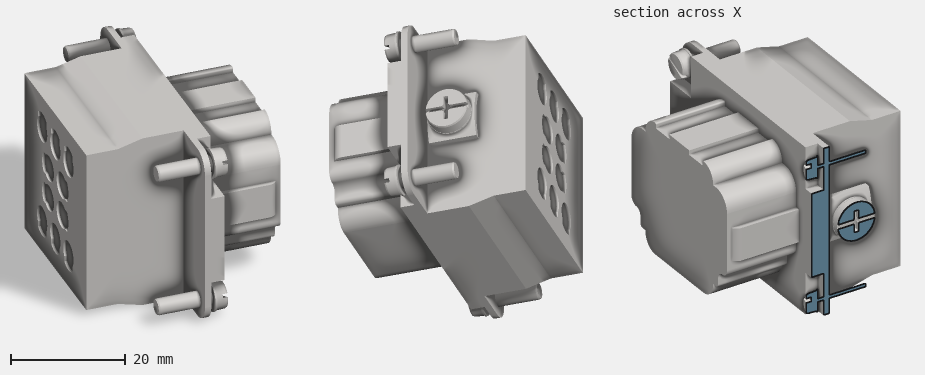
import cadquery as cq
import math

flange_width = 51.0
body_height = 33.8
flange_thickness = 3.7
flange_corner_radius = 3.5

recess_width = 6.9
recess_height = 8.4
recess_depth = 2.5

block_width = 30.2
block_length = 21.9
taper_start = 11.4
taper_end = 16.0
taper_step = 1.2

contact_diameter = 5.0
contact_depth = 0.5
key_width = 4.0
key_reach = 3.25
outer_row_spacing = 6.4
outer_row_height = 9.15
inner_row_spacing = 3.15
inner_row_height = 3.0

insert_length = 14.3
insert_half_width = 15.55
insert_half_height = 13.3
side_flat_top = 6.4
side_flat_bottom = -5.1
shoulder_height = 10.0
shoulder_edge = 12.0
lobe_radius = 3.1
lobe_apex = 7.9
lobe_edge_fillet = 0.3
top_flat_height = 12.3
top_rib_half_width = 3.25
top_rib_height = 13.2
lower_corner_radius = 1.5
lower_shoulder_fillet = 1.35
lower_wall_x = 12.65
lower_wall_radius = 0.7

side_rib_half_width = 16.5
side_rib_height = 6.6
side_rib_length = 13.4
side_rib_round_length = 1.6

head_height = 2.5
head_chamfer_height = 0.3
head_lip_height = 0.35
slot_depth = 1.0
head_taper = 0.1

flange_screw_x = 22.0
flange_screw_z = 13.5
flange_screw_shank = 3.0
flange_screw_head = 5.2
flange_screw_lip = 5.5
flange_screw_head_y = 1.1
flange_screw_tip_y = -11.5
flange_screw_tip_chamfer = 0.3
flange_screw_slot_width = 0.7
flange_screw_slot_angle = -24.0

earth_screw_y = -9.3
earth_screw_shank = 4.0
earth_screw_head = 7.9
earth_screw_lip = 8.0
earth_screw_head_x = -21.35
earth_screw_slot_width = 0.8
earth_screw_slot_angle = 90.0
cross_length = 4.6
cross_taper = 0.4
cross_width = 0.85
cross_depth = 1.6
cross_centre_diameter = 1.6
cross_floor_diameter = 1.25
clamp_size = 8.75
clamp_thickness = 1.0
clamp_radius = 10.4
clamp_outer_x = -18.65

half_height = body_height / 2
block_half_width = block_width / 2
diagonal = math.sqrt(0.5)


def box(x0, x1, y0, y1, z0, z1):
    """Box between two corners."""
    return cq.Workplane("XY").box(x1 - x0, y1 - y0, z1 - z0, centered=False).translate((x0, y0, z0))


def xz_plane(y):
    """Sketch plane with local X = X and local Y = Z; extrusion runs toward -Y."""
    return cq.Workplane("XZ", origin=(0, y, 0))


def make_flange():
    """Rounded flange plate with the four rear corners recessed."""
    plate = xz_plane(0).rect(flange_width, body_height).extrude(flange_thickness)
    plate = plate.edges("|Y").fillet(flange_corner_radius)
    for side in (-1, 1):
        for end in (-1, 1):
            corner_x = side * (flange_width / 2 - recess_width / 2)
            corner_z = end * (half_height - recess_height / 2)
            recess = xz_plane(0).center(corner_x, corner_z).rect(recess_width, recess_height)
            plate = plate.cut(recess.extrude(recess_depth))
    return plate


def make_block():
    """Wiring block that tapers to a lower end."""
    end_half_height = half_height - taper_step
    outline = [
        (0, half_height),
        (-taper_start, half_height),
        (-taper_end, end_half_height),
        (-block_length, end_half_height),
        (-block_length, -end_half_height),
        (-taper_end, -end_half_height),
        (-taper_start, -half_height),
        (0, -half_height),
    ]
    return cq.Workplane("YZ").polyline(outline).close().extrude(block_half_width, both=True)


def make_contact(x, z, key_angle):
    """Round opening with a wide key that points along key_angle (degrees from +X)."""
    key = xz_plane(0).circle(key_reach).extrude(contact_depth)
    key_band = xz_plane(0).center(key_reach / 2, 0).rect(key_reach, key_width).extrude(contact_depth)
    opening = xz_plane(0).circle(contact_diameter / 2).extrude(contact_depth)
    opening = opening.union(key.intersect(key_band))
    opening = opening.rotate((0, 0, 0), (0, 1, 0), -key_angle)
    return opening.translate((x, contact_depth - block_length, z))


def cut_contacts(body):
    """Two outer rows of three and two inner rows of two contact openings."""
    for end in (-1, 1):
        for column in (-1, 0, 1):
            body = body.cut(make_contact(column * outer_row_spacing, end * outer_row_height, end * 90))
        for side in (-1, 1):
            key_angle = 0 if side > 0 else 180
            body = body.cut(make_contact(side * inner_row_spacing, end * inner_row_height, key_angle))
    return body


def arc_middle(centre_x, centre_z, radius_x, radius_z):
    """Middle point of a quarter turn; the signs of the radii choose the quadrant."""
    return (centre_x + radius_x * diagonal, centre_z + radius_z * diagonal)


def make_insert():
    """Mating insert: half outline on the -X side, mirrored to the +X side."""
    lobe_centre_z = insert_half_height - lobe_radius
    lobe_edge = lobe_apex + lobe_radius
    lobe_inner_edge = lobe_apex - lobe_edge_fillet
    lobe_fillet_z = insert_half_height - lobe_edge_fillet
    lower_wall_bottom = lower_wall_radius - shoulder_height
    lower_shoulder = side_flat_bottom - lower_corner_radius
    corner_x = -insert_half_width + lower_corner_radius
    fillet_x = -lower_wall_x - lower_shoulder_fillet
    fillet_z = lower_shoulder - lower_shoulder_fillet
    wall_round_x = -lower_wall_x + lower_wall_radius
    upper_round_mid = (
        -shoulder_edge - (insert_half_width - shoulder_edge) * diagonal,
        side_flat_top + (shoulder_height - side_flat_top) * diagonal,
    )
    lobe_fillet_mid = arc_middle(-lobe_apex, lobe_fillet_z, lobe_edge_fillet, lobe_edge_fillet)
    upper_lobe_mid = arc_middle(-lobe_apex, lobe_centre_z, -lobe_radius, lobe_radius)
    lower_lobe_mid = arc_middle(-lobe_apex, -lobe_centre_z, -lobe_radius, -lobe_radius)
    corner_mid = arc_middle(corner_x, side_flat_bottom, -lower_corner_radius, -lower_corner_radius)
    fillet_mid = arc_middle(fillet_x, fillet_z, lower_shoulder_fillet, lower_shoulder_fillet)
    wall_mid = arc_middle(wall_round_x, lower_wall_bottom, -lower_wall_radius, -lower_wall_radius)

    half = (
        xz_plane(insert_length)
        .moveTo(0, top_rib_height)
        .lineTo(-top_rib_half_width, top_rib_height)
        .lineTo(-top_rib_half_width, top_flat_height)
        .lineTo(-lobe_inner_edge, top_flat_height)
        .lineTo(-lobe_inner_edge, lobe_fillet_z)
        .threePointArc(lobe_fillet_mid, (-lobe_apex, insert_half_height))
        .threePointArc(upper_lobe_mid, (-lobe_edge, lobe_centre_z))
        .lineTo(-lobe_edge, shoulder_height)
        .lineTo(-shoulder_edge, shoulder_height)
        .threePointArc(upper_round_mid, (-insert_half_width, side_flat_top))
        .lineTo(-insert_half_width, side_flat_bottom)
        .threePointArc(corner_mid, (corner_x, lower_shoulder))
        .lineTo(fillet_x, lower_shoulder)
        .threePointArc(fillet_mid, (-lower_wall_x, fillet_z))
        .lineTo(-lower_wall_x, lower_wall_bottom)
        .threePointArc(wall_mid, (wall_round_x, -shoulder_height))
        .lineTo(-lobe_edge, -shoulder_height)
        .lineTo(-lobe_edge, -lobe_centre_z)
        .threePointArc(lower_lobe_mid, (-lobe_apex, -insert_half_height))
        .lineTo(0, -insert_half_height)
        .close()
        .extrude(insert_length)
    )
    return half.union(half.mirror("YZ"))


def make_side_ribs():
    """Rib across the insert whose outer ends are rounded at the mating end."""
    rise = side_rib_half_width - insert_half_width
    round_radius = (rise**2 + side_rib_round_length**2) / (2 * rise)
    half_turn = math.asin(side_rib_round_length / round_radius) / 2
    round_start = side_rib_length - side_rib_round_length
    mid_x = side_rib_half_width - round_radius * (1 - math.cos(half_turn))
    mid_y = round_start + round_radius * math.sin(half_turn)
    return (
        cq.Workplane("XY")
        .moveTo(-side_rib_half_width, 0)
        .lineTo(-side_rib_half_width, round_start)
        .threePointArc((-mid_x, mid_y), (-insert_half_width, side_rib_length))
        .lineTo(insert_half_width, side_rib_length)
        .threePointArc((mid_x, mid_y), (side_rib_half_width, round_start))
        .lineTo(side_rib_half_width, 0)
        .close()
        .extrude(side_rib_height / 2, both=True)
    )


def make_screw(head_diameter, lip_diameter, shank_diameter, shank_length, slot_width, slot_angle):
    """Slotted screw along Z: head top at Z = 0, shank pointing toward -Z."""
    head_radius = head_diameter / 2
    upper_radius = head_radius - head_taper
    lip_z = head_lip_height - head_height
    profile = [
        (0, 0),
        (upper_radius - head_chamfer_height / 2, 0),
        (upper_radius, -head_chamfer_height),
        (head_radius, lip_z),
        (lip_diameter / 2, lip_z),
        (lip_diameter / 2, -head_height),
        (0, -head_height),
    ]
    head = cq.Workplane("XZ").polyline(profile).close().revolve(360, (0, 0, 0), (0, 1, 0))
    slot = cq.Workplane("XY").rect(2 * lip_diameter, slot_width).extrude(-slot_depth)
    head = head.cut(slot.rotate((0, 0, 0), (0, 0, 1), slot_angle))
    shank = cq.Workplane("XY", origin=(0, 0, -head_height)).circle(shank_diameter / 2).extrude(-shank_length)
    return head.union(shank)


def add_flange_screws(body):
    """One screw in each flange corner, its head on the mating side."""
    shank_length = flange_screw_head_y - head_height - flange_screw_tip_y
    screw = make_screw(
        flange_screw_head,
        flange_screw_lip,
        flange_screw_shank,
        shank_length,
        flange_screw_slot_width,
        flange_screw_slot_angle,
    )
    screw = screw.faces("<Z").chamfer(flange_screw_tip_chamfer, flange_screw_tip_chamfer / 2)
    screw = screw.rotate((0, 0, 0), (1, 0, 0), -90)
    for side in (-1, 1):
        for end in (-1, 1):
            place = (side * flange_screw_x, flange_screw_head_y, end * flange_screw_z)
            body = body.union(screw.translate(place))
    return body


def make_cross_recess():
    """Cross arm with sloping ends and a conical centre, sunk from Z = 0."""
    half_length = cross_length / 2
    arm_outline = [
        (-half_length, 0),
        (half_length, 0),
        (half_length - cross_taper, -cross_depth),
        (cross_taper - half_length, -cross_depth),
    ]
    arm = cq.Workplane("XZ").polyline(arm_outline).close().extrude(cross_width / 2, both=True)
    centre = (
        cq.Workplane("XY")
        .circle(cross_centre_diameter / 2)
        .workplane(offset=-cross_depth)
        .circle(cross_floor_diameter / 2)
        .loft()
    )
    return arm.union(centre)


def make_earth_screw():
    """Slotted cross-head screw that enters the -X side of the block."""
    shank_length = -block_half_width - earth_screw_head_x - head_height
    screw = make_screw(
        earth_screw_head,
        earth_screw_lip,
        earth_screw_shank,
        shank_length,
        earth_screw_slot_width,
        earth_screw_slot_angle,
    )
    screw = screw.cut(make_cross_recess())
    screw = screw.rotate((0, 0, 0), (0, 1, 0), -90)
    return screw.translate((earth_screw_head_x, earth_screw_y, 0))


def make_clamp_plate():
    """Square clamp plate curved about an axis along Y."""
    half = clamp_size / 2
    y_start = earth_screw_y - half
    y_end = earth_screw_y + half
    axis_x = clamp_outer_x + clamp_radius
    ring = xz_plane(y_end).center(axis_x, 0).circle(clamp_radius)
    ring = ring.circle(clamp_radius - clamp_thickness).extrude(clamp_size)
    return ring.intersect(box(clamp_outer_x, axis_x, y_start, y_end, -half, half))


body = make_flange().union(make_block())
body = cut_contacts(body)
body = body.union(make_insert()).union(make_side_ribs())
body = add_flange_screws(body)
result = body.union(make_earth_screw()).union(make_clamp_plate())